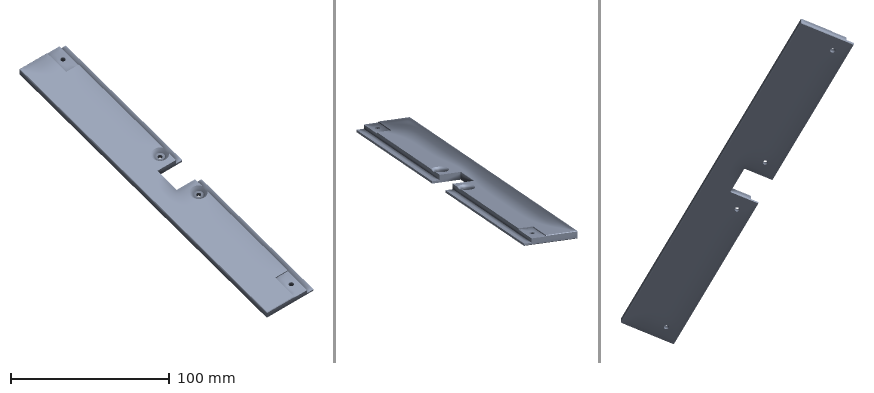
import cadquery as cq

length = 256.0
width = 37.0
thickness = 5.0

lip_width = 5.0
lip_thickness = 1.5
body_width = width - lip_width

notch_center = 130.3
notch_width = 20.0
notch_depth = 19.7

seat_length = 20.0
seat_width = 10.0
seat_depth = 0.8

hole_row = width - 10.0
seat_hole_inset = 10.0
seat_hole_diameter = 3.3
screw_spacing = 40.0
screw_hole_diameter = 3.0
cone_top_diameter = 11.3
cone_floor_diameter = 6.5
cone_depth = 2.3

edge_chamfer = 0.38


def make_plate():
    """Plate with its left, right and front faces chamfered all round, stepped down to the lip."""
    plate = cq.Workplane("XY").box(length, width, thickness, centered=False)
    plate = plate.faces("<X or >X or <Y").edges("not(>Y)").chamfer(edge_chamfer)
    step = (
        cq.Workplane("XY")
        .box(length, lip_width, thickness - lip_thickness, centered=False)
        .translate((0, body_width, lip_thickness))
    )
    return plate.cut(step)


def make_notch():
    return (
        cq.Workplane("XY")
        .box(notch_width, notch_depth, thickness, centered=(True, False, False))
        .translate((notch_center, width - notch_depth, 0))
    )


def make_seat(left):
    return (
        cq.Workplane("XY")
        .box(seat_length, seat_width, seat_depth, centered=False)
        .translate((left, body_width - seat_width, thickness - seat_depth))
    )


def make_hole(x, diameter):
    return cq.Workplane("XY").center(x, hole_row).circle(diameter / 2).extrude(thickness)


def make_cone(x):
    """Tapered, flat-floored recess for a screw head."""
    return (
        cq.Workplane("XY", origin=(x, hole_row, thickness - cone_depth))
        .circle(cone_floor_diameter / 2)
        .workplane(offset=cone_depth)
        .circle(cone_top_diameter / 2)
        .loft()
    )


result = make_plate().cut(make_notch())

for seat_left in (0, length - seat_length):
    result = result.cut(make_seat(seat_left))

for seat_hole_x in (seat_hole_inset, length - seat_hole_inset):
    result = result.cut(make_hole(seat_hole_x, seat_hole_diameter))

for side in (-1, 1):
    screw_x = notch_center + side * screw_spacing / 2
    result = result.cut(make_cone(screw_x)).cut(make_hole(screw_x, screw_hole_diameter))